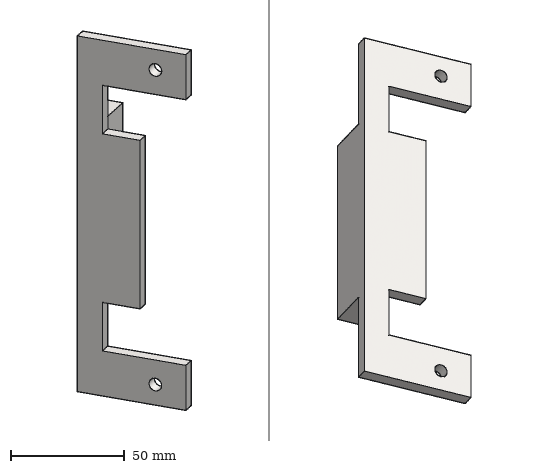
import cadquery as cq

length = 170.0
width = 52.0
thickness = 6.0
spine_width = 12.0
end_arm_height = 21.6

tab_reach = 30.1
tab_height = 80.6

total_depth = 27.0
flange_thickness = 10.0
flange_height = 88.5

hole_diameter = 6.0
hole_x = 37.4
hole_end_distance = 9.9


def centred_block(x_size, y_size, z_size):
    """Block with its left front edge on the Z axis, centred in Z."""
    return cq.Workplane("XY").box(x_size, y_size, z_size, centered=(False, False, True))


spine = centred_block(spine_width, thickness, length)
tab = centred_block(tab_reach, thickness, tab_height)
flange = centred_block(flange_thickness, total_depth, flange_height)
result = spine.union(tab).union(flange)

arm_z = (length - end_arm_height) / 2
hole_z = length / 2 - hole_end_distance
for side in (-1, 1):
    arm = centred_block(width, thickness, end_arm_height).translate((0, 0, side * arm_z))
    hole = (
        cq.Workplane("XZ")
        .center(hole_x, side * hole_z)
        .circle(hole_diameter / 2)
        .extrude(-thickness)
    )
    result = result.union(arm).cut(hole)